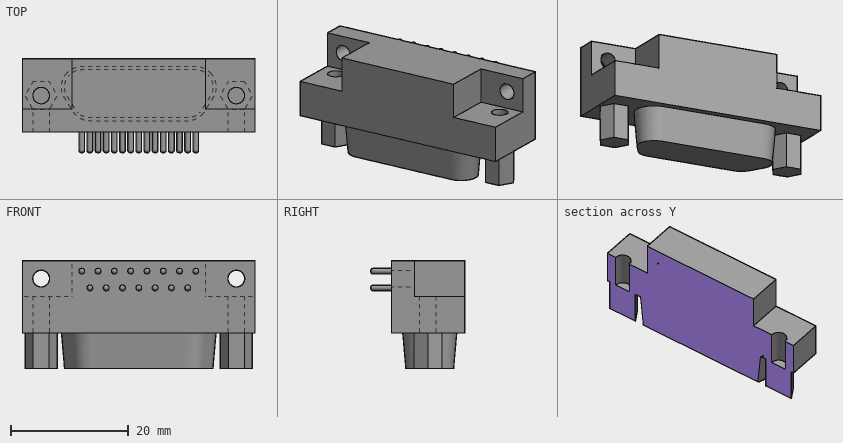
import cadquery as cq
import math


body_width = 39.62
body_depth = 12.52
body_height = 12.32
flange_thickness = 3.95
notch_width = 8.48
notch_floor = 6.25

fixing_spacing = 33.2
fixing_points = [(-fixing_spacing / 2, 0), (fixing_spacing / 2, 0)]
fixing_hole_diameter = 2.8
mount_hole_drop = 3.05
standoff_y = 6.22
standoff_sides = 6
standoff_across_flats = 4.75
mating_length = 6.05

shell_depth = 8.15
shell_y = 6.55
shell_corner_radius = 2.95
shell_front_flat = 16.55
shell_side_angle = 32.0
shell_draft = 5.0

pin_diameter = 1.0
pin_tip_radius = 0.45
pin_length = 3.53
pin_pitch = 2.77
top_row_count = 8
bottom_row_count = 7
top_row_drop = 1.8
row_spacing = 2.85


def make_housing():
    housing = cq.Workplane("XY").box(
        body_width, body_depth, body_height, centered=(True, False, False)
    )
    notch_depth = body_depth - flange_thickness
    notch_height = body_height - notch_floor
    notch_x = (body_width - notch_width) / 2
    notches = (
        cq.Workplane("XY", origin=(0, flange_thickness, notch_floor))
        .pushPoints([(-notch_x, 0), (notch_x, 0)])
        .box(notch_width, notch_depth, notch_height, centered=(True, False, False))
    )
    return housing.cut(notches)


def make_fixing_holes():
    radius = fixing_hole_diameter / 2
    mount_holes = (
        cq.Workplane("XZ", origin=(0, 0, body_height - mount_hole_drop))
        .pushPoints(fixing_points)
        .circle(radius)
        .extrude(-flange_thickness)
    )
    screw_holes = (
        cq.Workplane("XY", origin=(0, standoff_y, 0))
        .pushPoints(fixing_points)
        .circle(radius)
        .extrude(notch_floor)
    )
    return mount_holes.union(screw_holes)


def make_standoffs():
    across_corners = standoff_across_flats / math.cos(math.pi / standoff_sides)
    return (
        cq.Workplane("XY", origin=(0, standoff_y, 0))
        .pushPoints(fixing_points)
        .polygon(standoff_sides, across_corners)
        .extrude(-mating_length)
    )


def make_shell():
    side_angle = math.radians(shell_side_angle)
    radius = shell_corner_radius
    front_y = shell_y - shell_depth / 2
    back_y = shell_y + shell_depth / 2
    front_center = (shell_front_flat / 2, front_y + radius)
    back_center_y = back_y - radius
    back_center = (
        front_center[0] + (back_center_y - front_center[1]) * math.tan(side_angle),
        back_center_y,
    )

    def on_corner(center, angle, side):
        x = center[0] + radius * math.cos(angle)
        y = center[1] + radius * math.sin(angle)
        return (side * x, y)

    side_normal = -side_angle
    front_normal = -math.pi / 2
    back_normal = math.pi / 2
    front_middle = (front_normal + side_normal) / 2
    back_middle = (back_normal + side_normal) / 2
    right, left = 1, -1
    return (
        cq.Workplane("XY", origin=(0, 0, -mating_length))
        .moveTo(*on_corner(front_center, front_normal, left))
        .lineTo(*on_corner(front_center, front_normal, right))
        .threePointArc(
            on_corner(front_center, front_middle, right), on_corner(front_center, side_normal, right)
        )
        .lineTo(*on_corner(back_center, side_normal, right))
        .threePointArc(
            on_corner(back_center, back_middle, right), on_corner(back_center, back_normal, right)
        )
        .lineTo(*on_corner(back_center, back_normal, left))
        .threePointArc(
            on_corner(back_center, back_middle, left), on_corner(back_center, side_normal, left)
        )
        .lineTo(*on_corner(front_center, side_normal, left))
        .threePointArc(
            on_corner(front_center, front_middle, left), on_corner(front_center, front_normal, left)
        )
        .close()
        .extrude(mating_length, taper=-shell_draft)
    )


def make_pin_row(count, z):
    return (
        cq.Workplane("XZ", origin=(0, 0, z))
        .rarray(pin_pitch, 0.4, count, 1)
        .circle(pin_diameter / 2)
        .extrude(pin_length)
        .faces("<Y")
        .edges()
        .fillet(pin_tip_radius)
    )


top_row_z = body_height - top_row_drop

result = (
    make_housing()
    .cut(make_fixing_holes())
    .union(make_standoffs())
    .union(make_shell())
    .union(make_pin_row(top_row_count, top_row_z))
    .union(make_pin_row(bottom_row_count, top_row_z - row_spacing))
)